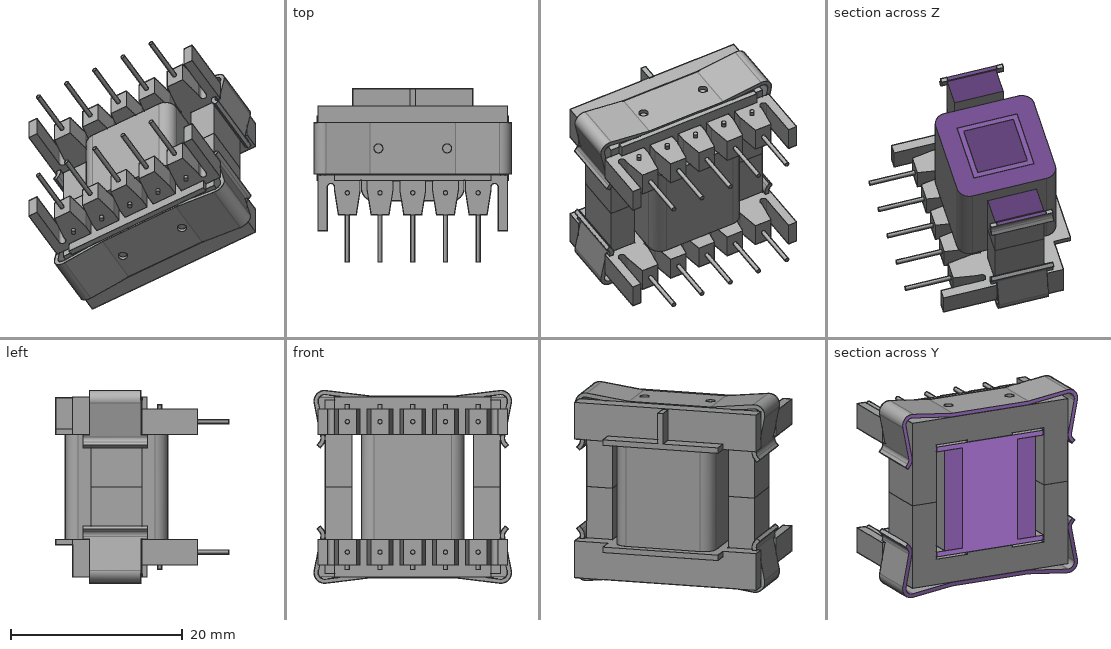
import cadquery as cq
import math

core_width = 20.4
core_depth = 5.95
core_half_height = 10.1
core_window_width = 14.1
core_window_depth = 7.0
core_leg_width = 5.9

winding_width = 12.0
winding_depth = 11.95
winding_radius = 1.5
tube_wall = 0.7
tube_width = core_leg_width + 2 * tube_wall
tube_depth = core_depth + 2 * tube_wall

flange_bottom = 6.1
flange_top = 10.5
flange_width = 14.0
flange_thickness = 0.65
flange_back = 7.1
bobbin_width = 22.1
core_front = -core_depth / 2
back_wall_back = 5.1
strip_width = 18.2
strip_thickness = 0.6
strip_front = core_front - strip_thickness
rib_width = 0.65
rib_top = 10.4

block_height = 3.0
block_top = flange_bottom + block_height
block_count = 5
block_pitch = 3.81
block_base_width = 3.0
block_tip_width = 2.1
block_taper_start = -4.75
block_tip = -7.6
leg_width = 1.1
leg_tip = -9.45
slot_outer = bobbin_width / 2 - leg_width
slot_inner = (block_count - 1) / 2 * block_pitch + block_base_width / 2
slot_end = -3.95

pin_diameter = 0.5
pin_tip = -13.1
pin_z = flange_bottom + block_height / 2
stub_y = -5.03
stub_height = 0.5
stub_top = block_top + stub_height

clip_thickness = 0.5
clip_offset_y = 0.15
clip_width = 6.0
clip_foot_width = 7.5
clip_foot_top = 6.05
clip_rise_angle = 7.0
clip_side_angle = 11.1
clip_flare_angle = 40.0
clip_flare_length = 0.45
clip_corner_radius = 1.25
clip_corner_x = 10.26
clip_corner_z = 9.99
clip_foot_radius = 0.7
clip_hole_diameter = 1.05
clip_hole_x = 4.0

back_wall_front = clip_offset_y + clip_width / 2


def block_between(x_min, x_max, y_min, y_max, z_min, z_max):
    size = (x_max - x_min, y_max - y_min, z_max - z_min)
    return cq.Workplane("XY").box(*size, centered=False).translate((x_min, y_min, z_min))


def centred_block(width, y_min, y_max, z_min, z_max):
    return block_between(-width / 2, width / 2, y_min, y_max, z_min, z_max)


def mirrored_below(body):
    return body.mirror("XY")


def make_core_half():
    core = centred_block(core_width, core_front, -core_front, 0, core_half_height)
    window_inner = core_leg_width / 2
    window_outer = core_window_width / 2
    for x_min in (-window_outer, window_inner):
        x_max = x_min + window_outer - window_inner
        core = core.cut(block_between(x_min, x_max, core_front, -core_front, 0, core_window_depth))
    return core


def make_winding():
    height = 2 * flange_bottom
    winding = cq.Workplane("XY").box(winding_width, winding_depth, height).edges("|Z").fillet(winding_radius)
    return winding.cut(cq.Workplane("XY").box(tube_width, tube_depth, height))


def make_terminal_block(x):
    base = block_base_width / 2
    tip = block_tip_width / 2
    outline = [
        (x - base, strip_front),
        (x - base, block_taper_start),
        (x - tip, block_tip),
        (x + tip, block_tip),
        (x + base, block_taper_start),
        (x + base, strip_front),
    ]
    plane = cq.Workplane("XY").workplane(offset=flange_bottom)
    return plane.polyline(outline).close().extrude(block_height)


def make_side_leg(side):
    """Leg at one end of the terminal row, joined to the row above a round-ended slot."""
    radius = (slot_outer - slot_inner) / 2
    slot_centre_y = slot_end - radius
    return (
        cq.Workplane("XY")
        .workplane(offset=flange_bottom)
        .moveTo(side * bobbin_width / 2, strip_front)
        .lineTo(side * bobbin_width / 2, leg_tip)
        .lineTo(side * slot_outer, leg_tip)
        .lineTo(side * slot_outer, slot_centre_y)
        .threePointArc((side * (slot_outer - radius), slot_end), (side * slot_inner, slot_centre_y))
        .lineTo(side * slot_inner, strip_front)
        .close()
        .extrude(block_height)
    )


def make_pins(x):
    pin = (
        cq.Workplane("XZ", origin=(x, stub_y, pin_z))
        .circle(pin_diameter / 2)
        .extrude(stub_y - pin_tip)
    )
    stub = (
        cq.Workplane("XY", origin=(x, stub_y, pin_z))
        .circle(pin_diameter / 2)
        .extrude(stub_top - pin_z)
    )
    return pin.union(stub)


def make_bobbin_end():
    plate_top = flange_bottom + flange_thickness
    end = centred_block(flange_width, core_front, flange_back, flange_bottom, plate_top)
    end = end.union(centred_block(bobbin_width, back_wall_front, back_wall_back, flange_bottom, flange_top))
    end = end.union(centred_block(strip_width, strip_front, core_front, flange_bottom, flange_top))
    end = end.union(centred_block(bobbin_width, strip_front, core_front, flange_bottom, block_top))
    for side in (-1, 1):
        end = end.union(make_side_leg(side))
    for index in range(block_count):
        x = (index - (block_count - 1) / 2) * block_pitch
        end = end.union(make_terminal_block(x)).union(make_pins(x))
    return end


def make_bobbin():
    upper_end = make_bobbin_end()
    tube = cq.Workplane("XY").box(tube_width, tube_depth, 2 * flange_bottom)
    rib = centred_block(rib_width, back_wall_back, flange_back, flange_bottom, rib_top)
    leg_passage = cq.Workplane("XY").box(core_leg_width, core_depth, 2 * flange_top)
    bobbin = tube.union(upper_end).union(mirrored_below(upper_end)).union(rib)
    return bobbin.cut(leg_passage)


def polar(centre, radius, angle):
    turn = math.radians(angle)
    return (centre[0] + radius * math.cos(turn), centre[1] + radius * math.sin(turn))


def make_half_strip():
    """Right half of the bent strip in the XZ plane, extruded to the width of the foot."""
    rise_normal = 90 + clip_rise_angle
    side_normal = -clip_side_angle
    foot_upper = 180 - clip_side_angle
    foot_lower = 180 + clip_flare_angle

    corner = (clip_corner_x, clip_corner_z)
    corner_outer = clip_corner_radius
    corner_inner = corner_outer - clip_thickness
    corner_middle = (rise_normal + side_normal) / 2

    foot_outer = clip_foot_radius
    foot_inner = foot_outer + clip_thickness
    foot_x = core_width / 2 + foot_inner
    lean = math.radians(clip_side_angle)
    centre_gap = corner_outer + foot_outer
    foot_z = corner[1] - (centre_gap - (foot_x - corner[0]) * math.cos(lean)) / math.sin(lean)
    foot = (foot_x, foot_z)
    foot_middle = (foot_upper + foot_lower) / 2

    def flat_end(z, radius):
        start = polar(corner, radius, rise_normal)
        return (start[0] - (start[1] - z) / math.tan(math.radians(clip_rise_angle)), z)

    flat_bottom = core_half_height
    flat_top = flat_bottom + clip_thickness
    tip_heading = foot_lower + 90
    tip_outer = polar(polar(foot, foot_outer, foot_lower), clip_flare_length, tip_heading)
    tip_inner = polar(polar(foot, foot_inner, foot_lower), clip_flare_length, tip_heading)

    return (
        cq.Workplane("XZ", origin=(0, clip_offset_y + clip_foot_width / 2, 0))
        .moveTo(0, flat_top)
        .lineTo(*flat_end(flat_top, corner_outer))
        .lineTo(*polar(corner, corner_outer, rise_normal))
        .threePointArc(polar(corner, corner_outer, corner_middle), polar(corner, corner_outer, side_normal))
        .lineTo(*polar(foot, foot_outer, foot_upper))
        .threePointArc(polar(foot, foot_outer, foot_middle), polar(foot, foot_outer, foot_lower))
        .lineTo(*tip_outer)
        .lineTo(*tip_inner)
        .lineTo(*polar(foot, foot_inner, foot_lower))
        .threePointArc(polar(foot, foot_inner, foot_middle), polar(foot, foot_inner, foot_upper))
        .lineTo(*polar(corner, corner_inner, side_normal))
        .threePointArc(polar(corner, corner_inner, corner_middle), polar(corner, corner_inner, rise_normal))
        .lineTo(*flat_end(flat_bottom, corner_inner))
        .lineTo(0, flat_bottom)
        .close()
        .extrude(clip_foot_width)
    )


def make_clip():
    half = make_half_strip()
    clip = half.union(half.mirror("YZ"))

    clip_x = clip_corner_x + clip_corner_radius
    clip_top = clip_corner_z + clip_corner_radius
    narrow_edge = clip_width / 2
    foot_edge = clip_foot_width / 2
    for y_min, y_max in ((-foot_edge, -narrow_edge), (narrow_edge, foot_edge)):
        trim = centred_block(2 * clip_x, y_min, y_max, clip_foot_top, clip_top)
        clip = clip.cut(trim.translate((0, clip_offset_y, 0)))

    holes = (
        cq.Workplane("XY", origin=(0, clip_offset_y, core_half_height))
        .pushPoints([(-clip_hole_x, 0), (clip_hole_x, 0)])
        .circle(clip_hole_diameter / 2)
        .extrude(clip_thickness)
    )
    return clip.cut(holes)


bobbin = make_bobbin()
winding = make_winding()
upper_core = make_core_half()
upper_clip = make_clip()

bodies = [bobbin.val(), winding.val()]
for body in (upper_core, upper_clip):
    bodies.append(body.val())
    bodies.append(mirrored_below(body).val())

result = cq.Compound.makeCompound(bodies)